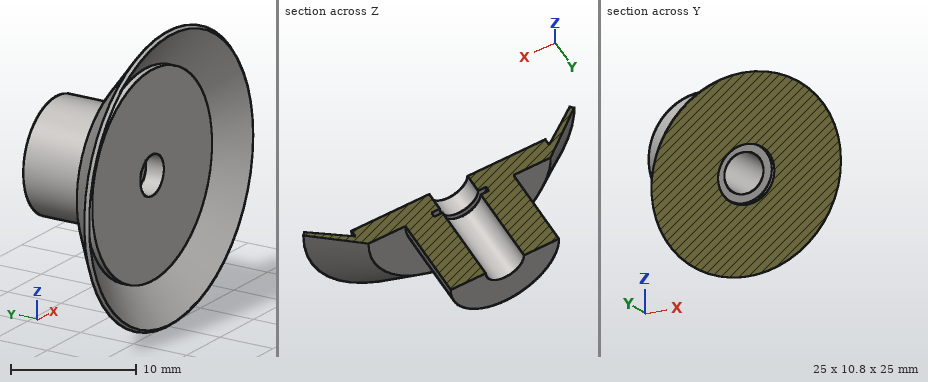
import cadquery as cq

rim_radius = 12.5
cup_depth = 3.6
total_length = 10.8

back_radius = 8.4
lip_length = 0.3
lip_inner_radius = 12.25
skirt_inner_depth = 2.4

platform_radius = 8.95
platform_depth = 1.8

stem_radius = 5.0
hole_radius = 1.75

groove_radius = 2.5
groove_start = 3.5
groove_width = 0.4
groove_end = groove_start + groove_width

profile = (
    cq.Workplane("XY")
    .moveTo(hole_radius, platform_depth)
    .lineTo(platform_radius, platform_depth)
    .lineTo(platform_radius, skirt_inner_depth)
    .lineTo(lip_inner_radius, 0)
    .lineTo(rim_radius, lip_length)
    .lineTo(back_radius, cup_depth)
    .lineTo(stem_radius, cup_depth)
    .lineTo(stem_radius, total_length)
    .lineTo(hole_radius, total_length)
    .lineTo(hole_radius, groove_end)
    .lineTo(groove_radius, groove_end)
    .lineTo(groove_radius, groove_start)
    .lineTo(hole_radius, groove_start)
    .close()
)

result = profile.revolve(360, (0, 0, 0), (0, 1, 0))